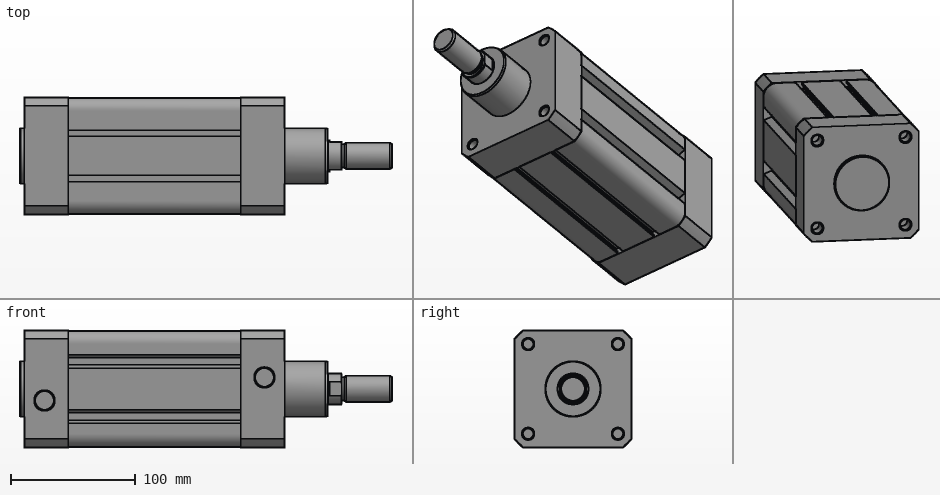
import cadquery as cq

TOTAL_LENGTH = 298.0
BOSS_LENGTH = 3.5
CAP_LENGTH = 35.2
TUBE_LENGTH = 138.0
COLLAR_LENGTH = 34.5

REAR_CAP_START = BOSS_LENGTH
TUBE_START = REAR_CAP_START + CAP_LENGTH
FRONT_CAP_START = TUBE_START + TUBE_LENGTH
FRONT_CAP_END = FRONT_CAP_START + CAP_LENGTH
COLLAR_END = FRONT_CAP_END + COLLAR_LENGTH

CAP_SIZE = 94.0
CAP_CORNER_DIAMETER = 123.5
BOSS_DIAMETER = 44.7
BOSS_CHAMFER = 0.5
COLLAR_CHAMFER_LENGTH = 1.8
COLLAR_CHAMFER_HEIGHT = 0.5

PORT_DIAMETER = 15.0
PORT_MOUTH_DIAMETER = 16.7
PORT_DEPTH = 15.0
PORT_TUBE_DISTANCE = 19.0
PORT_OFFSET = 9.2

SCREW_SPACING = 71.8
SCREW_DIAMETER = 8.3
SCREW_MOUTH_DIAMETER = 10.0
SCREW_DEPTH = 15.0

TUBE_SIZE = 93.0
TUBE_CORNER_RADIUS = 10.0
SIDE_GROOVE_OFFSET = 22.0
SIDE_GROOVE_MOUTH = 10.7
SIDE_GROOVE_FLOOR = 5.7
SIDE_GROOVE_DEPTH = 6.5
SLOT_OFFSET = 18.2
SLOT_MOUTH = 5.0
SLOT_LIP = 1.8
SLOT_WIDTH = 8.0
SLOT_DEPTH = 5.5

ROD_DIAMETER = 25.0
ROD_CHAMFER = 0.5
ROD_SHOULDER_LENGTH = 11.3
FLAT_START_GAP = 1.8
FLATS_WIDTH = 22.4
NECK_DIAMETER = 18.8
NECK_LENGTH = 1.8
THREAD_DIAMETER = 21.2
THREAD_CHAMFER_LENGTH = 1.8


def x_cylinder(start, length, diameter):
    return cq.Workplane("YZ", origin=(start, 0, 0)).circle(diameter / 2).extrude(length)


def flared_hole(mouth, direction, mouth_diameter, diameter, depth):
    """Blind hole along direction, with a 45 degree flare at its mouth."""
    flare = (mouth_diameter - diameter) / 2
    bore = cq.Solid.makeCylinder(diameter / 2, depth, mouth, direction)
    cone = cq.Solid.makeCone(mouth_diameter / 2, diameter / 2, flare, mouth, direction)
    return bore.fuse(cone)


def cap_block(start):
    block = cq.Workplane("YZ", origin=(start, 0, 0)).rect(CAP_SIZE, CAP_SIZE).extrude(CAP_LENGTH)
    return block.intersect(x_cylinder(start, CAP_LENGTH, CAP_CORNER_DIAMETER))


def cut_screw_holes(cap, face_x, direction_x):
    for y in (-SCREW_SPACING / 2, SCREW_SPACING / 2):
        for z in (-SCREW_SPACING / 2, SCREW_SPACING / 2):
            mouth = cq.Vector(face_x, y, z)
            direction = cq.Vector(direction_x, 0, 0)
            cap = cap.cut(flared_hole(mouth, direction, SCREW_MOUTH_DIAMETER, SCREW_DIAMETER, SCREW_DEPTH))
    return cap


def cut_port(cap, x, z):
    mouth = cq.Vector(x, -CAP_SIZE / 2, z)
    return cap.cut(flared_hole(mouth, cq.Vector(0, 1, 0), PORT_MOUTH_DIAMETER, PORT_DIAMETER, PORT_DEPTH))


def make_rear_cap():
    boss = x_cylinder(0, BOSS_LENGTH, BOSS_DIAMETER).faces("<X").edges().chamfer(BOSS_CHAMFER)
    cap = cap_block(REAR_CAP_START).union(boss)
    cap = cut_screw_holes(cap, REAR_CAP_START, 1)
    return cut_port(cap, TUBE_START - PORT_TUBE_DISTANCE, -PORT_OFFSET)


def make_front_cap():
    collar = x_cylinder(FRONT_CAP_END, COLLAR_LENGTH, BOSS_DIAMETER)
    collar = collar.faces(">X").edges().chamfer(COLLAR_CHAMFER_LENGTH, COLLAR_CHAMFER_HEIGHT)
    cap = cap_block(FRONT_CAP_START).union(collar)
    cap = cut_screw_holes(cap, FRONT_CAP_END, -1)
    return cut_port(cap, FRONT_CAP_START + PORT_TUBE_DISTANCE, PORT_OFFSET)


def side_groove(z):
    """Trapezoid groove in the -Y face, narrowing towards its floor."""
    face_y = -TUBE_SIZE / 2
    floor_y = face_y + SIDE_GROOVE_DEPTH
    outline = [
        (face_y, z - SIDE_GROOVE_MOUTH / 2),
        (face_y, z + SIDE_GROOVE_MOUTH / 2),
        (floor_y, z + SIDE_GROOVE_FLOOR / 2),
        (floor_y, z - SIDE_GROOVE_FLOOR / 2),
    ]
    return cq.Workplane("YZ", origin=(TUBE_START, 0, 0)).polyline(outline).close().extrude(TUBE_LENGTH)


def top_slot(y):
    """T slot in the +Z face, wider below the lips of its mouth."""
    floor_z = TUBE_SIZE / 2 - SLOT_DEPTH
    mouth = cq.Workplane("XY").box(TUBE_LENGTH, SLOT_MOUTH, SLOT_DEPTH, centered=(False, True, False))
    inside = cq.Workplane("XY").box(
        TUBE_LENGTH, SLOT_WIDTH, SLOT_DEPTH - SLOT_LIP, centered=(False, True, False)
    )
    return mouth.union(inside).translate((TUBE_START, y, floor_z))


def make_tube():
    tube = cq.Workplane("YZ", origin=(TUBE_START, 0, 0)).rect(TUBE_SIZE, TUBE_SIZE).extrude(TUBE_LENGTH)
    tube = tube.edges("|X").fillet(TUBE_CORNER_RADIUS)
    for side in (-1, 1):
        groove = side_groove(side * SIDE_GROOVE_OFFSET)
        slot = top_slot(side * SLOT_OFFSET)
        tube = tube.cut(groove).cut(groove.mirror("XZ"))
        tube = tube.cut(slot).cut(slot.mirror("XY"))
    return tube


def make_rod():
    shoulder_end = COLLAR_END + ROD_SHOULDER_LENGTH
    neck_end = shoulder_end + NECK_LENGTH
    rod_radius = ROD_DIAMETER / 2
    neck_radius = NECK_DIAMETER / 2
    thread_radius = THREAD_DIAMETER / 2
    outline = [
        (COLLAR_END, 0),
        (COLLAR_END, rod_radius - ROD_CHAMFER),
        (COLLAR_END + ROD_CHAMFER, rod_radius),
        (shoulder_end - ROD_CHAMFER, rod_radius),
        (shoulder_end, rod_radius - ROD_CHAMFER),
        (shoulder_end, neck_radius),
        (neck_end, neck_radius),
        (neck_end + THREAD_CHAMFER_LENGTH, thread_radius),
        (TOTAL_LENGTH - THREAD_CHAMFER_LENGTH, thread_radius),
        (TOTAL_LENGTH, neck_radius),
        (TOTAL_LENGTH, 0),
    ]
    rod = cq.Workplane("XY").polyline(outline).close().revolve(360, (0, 0, 0), (1, 0, 0))
    flat_length = ROD_SHOULDER_LENGTH - FLAT_START_GAP
    for side in (-1, 1):
        waste_y = side * (FLATS_WIDTH + ROD_DIAMETER) / 2
        waste = cq.Workplane("XY").box(flat_length, ROD_DIAMETER, ROD_DIAMETER, centered=(False, True, True))
        rod = rod.cut(waste.translate((COLLAR_END + FLAT_START_GAP, waste_y, 0)))
    return rod


rear_cap = make_rear_cap()
tube = make_tube()
front_cap = make_front_cap()
rod = make_rod()

result = cq.Compound.makeCompound([rear_cap.val(), tube.val(), front_cap.val(), rod.val()])